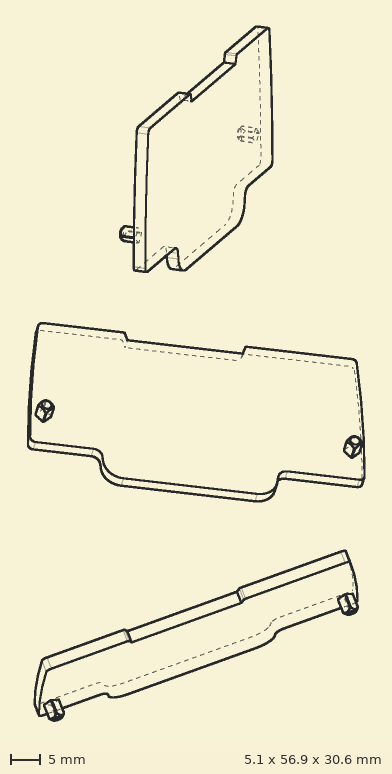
import cadquery as cq
import math

plate_thickness = 2.1
half_width = 28.45
height = 30.6
shoulder_z = 5.45
corner_radius = 0.9

bulge_start_z = 6.45
top_inset = 1.4

notch_center_y = 2.1
notch_depth = 1.55
notch_floor_half = 9.8
notch_top_half = 10.3
notch_corner_radius = 0.35

tab_center_y = 1.2
tab_top_half = 15.15
tab_draft = 7.0
tab_inner_radius = 1.55
tab_outer_radius = 3.45

peg_length = 3.0
peg_spacing = 52.45
peg_z = 11.2
peg_side = 2.0
peg_corner_diameter = 2.7
peg_tip_chamfer = 0.5

tab_bottom_half = tab_top_half - shoulder_z * math.tan(math.radians(tab_draft))
top_half_width = half_width - top_inset
notch_z = height - notch_depth

bulge_rise = height - bulge_start_z
bulge_radius = (bulge_rise**2 + top_inset**2) / (2 * top_inset)
bulge_mid_z = bulge_start_z + bulge_rise / 2
bulge_mid_half = half_width - bulge_radius + math.sqrt(bulge_radius**2 - (bulge_rise / 2) ** 2)


def fillet_corners(body, corners, radius):
    """Round the plate edges running along X through the given (y, z) corners."""
    for y, z in corners:
        edge = cq.selectors.NearestToPointSelector((-plate_thickness / 2, y, z))
        body = body.edges("|X").edges(edge).fillet(radius)
    return body


def mirrored_corners(center_y, half_span, z):
    return [(center_y - half_span, z), (center_y + half_span, z)]


def make_plate():
    outline = (
        cq.Workplane("YZ")
        .moveTo(tab_center_y - tab_bottom_half, 0)
        .lineTo(tab_center_y + tab_bottom_half, 0)
        .lineTo(tab_center_y + tab_top_half, shoulder_z)
        .lineTo(half_width, shoulder_z)
        .lineTo(half_width, bulge_start_z)
        .threePointArc((bulge_mid_half, bulge_mid_z), (top_half_width, height))
        .lineTo(notch_center_y + notch_top_half, height)
        .lineTo(notch_center_y + notch_floor_half, notch_z)
        .lineTo(notch_center_y - notch_floor_half, notch_z)
        .lineTo(notch_center_y - notch_top_half, height)
        .lineTo(-top_half_width, height)
        .threePointArc((-bulge_mid_half, bulge_mid_z), (-half_width, bulge_start_z))
        .lineTo(-half_width, shoulder_z)
        .lineTo(tab_center_y - tab_top_half, shoulder_z)
        .close()
    )
    plate = outline.extrude(-plate_thickness)
    end_corners = mirrored_corners(0, half_width, shoulder_z) + mirrored_corners(0, top_half_width, height)
    plate = fillet_corners(plate, end_corners, corner_radius)
    notch_corners = mirrored_corners(notch_center_y, notch_top_half, height)
    plate = fillet_corners(plate, notch_corners, notch_corner_radius)
    tab_inner_corners = mirrored_corners(tab_center_y, tab_top_half, shoulder_z)
    plate = fillet_corners(plate, tab_inner_corners, tab_inner_radius)
    tab_outer_corners = mirrored_corners(tab_center_y, tab_bottom_half, 0)
    return fillet_corners(plate, tab_outer_corners, tab_outer_radius)


def make_peg(y):
    """Peg rooted in the middle of the plate thickness."""
    root_depth = plate_thickness / 2
    length = peg_length + root_depth
    base = cq.Workplane("YZ", origin=(-root_depth, y, peg_z))
    square = base.transformed(rotate=(0, 0, 45)).rect(peg_side, peg_side).extrude(-length)
    envelope = base.circle(peg_corner_diameter / 2).extrude(-length)
    return square.intersect(envelope.faces("<X").chamfer(peg_tip_chamfer))


result = make_plate()
for side in (-1, 1):
    result = result.union(make_peg(side * peg_spacing / 2))